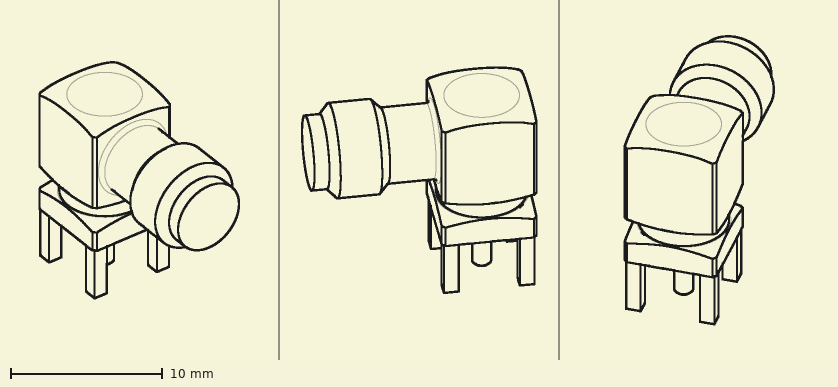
import cadquery as cq
import math

BODY_WIDTH = 6.35
BODY_EDGE_CHAMFER = 0.22
PLATE_TOP = 1.88
BLOCK_BOTTOM = 3.06
BLOCK_TOP = 9.62
HALF_WIDTH = BODY_WIDTH / 2
CORNER_RADIUS = HALF_WIDTH * math.sqrt(2)

TOP_FLAT_DIAMETER = 5.0
TOP_DOME_RADIUS = 4.0

COLLAR_FLAT_DIAMETER = 6.24
COLLAR_CONE_SLOPE = 0.32

COLLAR_DIAMETER = 6.0

LEG_WIDTH = 1.0
LEG_PITCH = 5.08
LEG_LENGTH = 3.88
PIN_DIAMETER = 1.27
PIN_CHAMFER = 0.2

BARREL_AXIS_Z = 6.33
BARREL_DIAMETER = 5.08
BARREL_ROOT_FILLET = 0.3
NUT_DIAMETER = BODY_WIDTH
NUT_START_X = 6.55
NUT_END_X = 10.6
NUT_CHAMFER_LENGTH = (NUT_DIAMETER - BARREL_DIAMETER) / 2
MOUTH_DIAMETER = 5.0
MOUTH_END_X = 11.605


def block_top_envelope():
    """Revolved solid about Z whose upper face is the block's dome."""
    flat_radius = TOP_FLAT_DIAMETER / 2
    dome_centre_z = BLOCK_TOP - TOP_DOME_RADIUS
    middle_radius = (flat_radius + CORNER_RADIUS) / 2
    middle_height = math.sqrt(TOP_DOME_RADIUS**2 - (middle_radius - flat_radius) ** 2)
    corner_height = math.sqrt(TOP_DOME_RADIUS**2 - (CORNER_RADIUS - flat_radius) ** 2)
    return (
        cq.Workplane("XZ")
        .moveTo(0, BLOCK_BOTTOM)
        .lineTo(0, BLOCK_TOP)
        .lineTo(flat_radius, BLOCK_TOP)
        .threePointArc(
            (middle_radius, dome_centre_z + middle_height),
            (CORNER_RADIUS, dome_centre_z + corner_height),
        )
        .lineTo(CORNER_RADIUS, BLOCK_BOTTOM)
        .close()
        .revolve(360, (0, 0), (0, 1))
    )


def collar_cone_envelope(plain_z, collar_z):
    """Revolved solid about Z from a plain end to a coned end facing the collar."""
    flat_radius = COLLAR_FLAT_DIAMETER / 2
    corner_fall = COLLAR_CONE_SLOPE * (CORNER_RADIUS - flat_radius)
    corner_z = collar_z + math.copysign(corner_fall, plain_z - collar_z)
    return (
        cq.Workplane("XZ")
        .moveTo(0, plain_z)
        .lineTo(0, collar_z)
        .lineTo(flat_radius, collar_z)
        .lineTo(CORNER_RADIUS, corner_z)
        .lineTo(CORNER_RADIUS, plain_z)
        .close()
        .revolve(360, (0, 0), (0, 1))
    )


def square_body(bottom, top):
    """Square prism with chamfered vertical edges."""
    return (
        cq.Workplane("XY", origin=(0, 0, bottom))
        .rect(BODY_WIDTH, BODY_WIDTH)
        .extrude(top - bottom)
        .edges("|Z")
        .chamfer(BODY_EDGE_CHAMFER)
    )


def base_plate():
    """Base plate with its upper corners coned off around the collar."""
    return square_body(0, PLATE_TOP).intersect(collar_cone_envelope(0, PLATE_TOP))


def block():
    """Elbow block, domed on top and coned around the collar underneath."""
    return (
        square_body(BLOCK_BOTTOM, BLOCK_TOP)
        .intersect(block_top_envelope())
        .intersect(collar_cone_envelope(BLOCK_TOP, BLOCK_BOTTOM))
    )


def collar():
    """Round neck joining the base plate to the block."""
    return (
        cq.Workplane("XY", origin=(0, 0, PLATE_TOP))
        .circle(COLLAR_DIAMETER / 2)
        .extrude(BLOCK_BOTTOM - PLATE_TOP)
    )


def legs():
    """Four square legs at the corners of the base plate."""
    return (
        cq.Workplane("XY")
        .rect(LEG_PITCH, LEG_PITCH, forConstruction=True)
        .vertices()
        .rect(LEG_WIDTH, LEG_WIDTH)
        .extrude(-LEG_LENGTH)
    )


def centre_pin():
    """Round contact pin with a chamfered tip."""
    return (
        cq.Workplane("XY")
        .circle(PIN_DIAMETER / 2)
        .extrude(-LEG_LENGTH)
        .faces("<Z")
        .chamfer(PIN_CHAMFER)
    )


def barrel():
    """Turned side barrel: filleted root, chamfered nut and reduced mouth."""
    barrel_radius = BARREL_DIAMETER / 2
    nut_radius = NUT_DIAMETER / 2
    mouth_radius = MOUTH_DIAMETER / 2
    return (
        cq.Workplane("XY")
        .moveTo(HALF_WIDTH, 0)
        .lineTo(HALF_WIDTH, barrel_radius + BARREL_ROOT_FILLET)
        .radiusArc((HALF_WIDTH + BARREL_ROOT_FILLET, barrel_radius), -BARREL_ROOT_FILLET)
        .lineTo(NUT_START_X, barrel_radius)
        .lineTo(NUT_START_X + NUT_CHAMFER_LENGTH, nut_radius)
        .lineTo(NUT_END_X - NUT_CHAMFER_LENGTH, nut_radius)
        .lineTo(NUT_END_X, mouth_radius)
        .lineTo(MOUTH_END_X, mouth_radius)
        .lineTo(MOUTH_END_X, 0)
        .close()
        .revolve(360, (0, 0), (1, 0))
        .translate((0, 0, BARREL_AXIS_Z))
    )


result = (
    base_plate()
    .union(collar())
    .union(block())
    .union(legs())
    .union(centre_pin())
    .union(barrel())
)